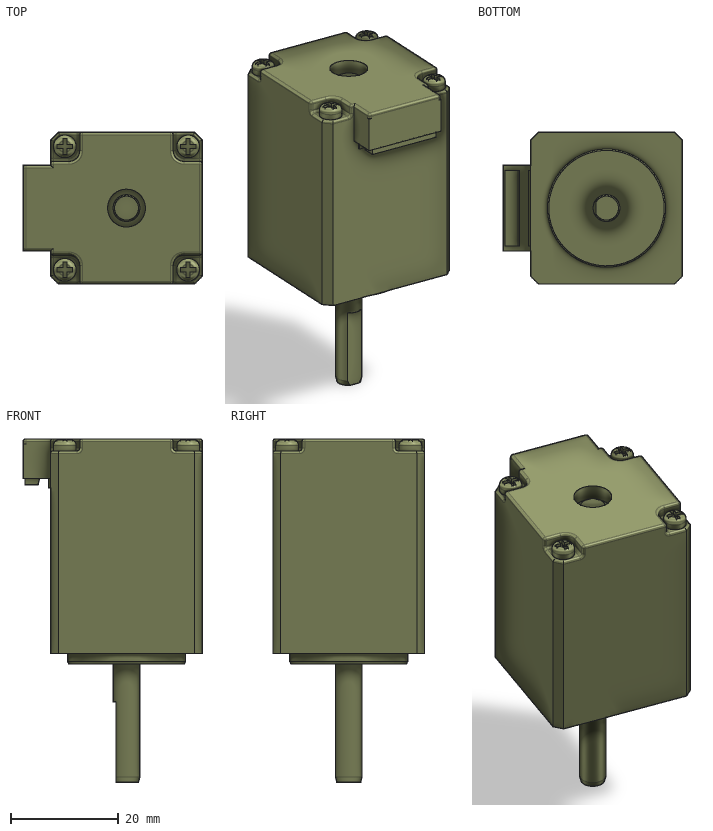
import cadquery as cq


body_side = 28.3
body_height = 40.0
body_corner_chamfer = 1.5
half_side = body_side / 2
edge_radius = 0.5

recess_depth = 2.25
recess_side = 5.45
recess_corner_radius = 2.0
recess_floor_radius = edge_radius
recess_floor_z = body_height - recess_depth

screw_spacing = 23.0
screw_offset = screw_spacing / 2
head_radius = 2.1
head_height = 2.05
head_rounding = 1.0
cross_length = 2.95
cross_width = 0.8
cross_depth = 0.95

housing_reach = 5.1
housing_width = 16.0
housing_height = 7.4
cover_thickness = 0.95
cover_corner_radius = edge_radius
housing_end_x = -half_side - housing_reach
housing_bottom_z = body_height - housing_height

plug_width = 14.1
collar_inset = 0.3
collar_thickness = 2.75
collar_drop = 1.15
collar_tip_taper = 0.25
back_wall_thickness = 0.4
back_wall_drop = 1.7

boss_radius = 11.0
boss_height = 2.0
boss_chamfer_height = 0.5
boss_chamfer_inset = 0.25
shaft_radius = 2.5
overall_height = 64.0
shaft_bottom_z = body_height - overall_height
shaft_tip_height = 1.0
shaft_tip_inset = 0.25
flat_depth = 0.5
flat_length = 15.0
rear_hole_radius = 3.5
rear_hole_depth = 3.0
shaft_top_depth = 2.0
shaft_top_z = body_height - shaft_top_depth

overlap = 0.65
tolerance = 0.005


def block(x_range, y_range, z_range):
    """A box between the given limits."""
    sizes = [high - low for low, high in (x_range, y_range, z_range)]
    corner = (x_range[0], y_range[0], z_range[0])
    return cq.Workplane("XY").box(*sizes, centered=False).translate(corner)


def centred(width):
    """Limits of a width centred on zero."""
    return (-width / 2, width / 2)


def make_recess():
    """Cutter for the +X +Y corner, with rounded floor edges along its two walls."""
    wall = half_side - recess_side
    outside = half_side + recess_side
    return (
        block((wall, outside), (wall, outside), (recess_floor_z, body_height + overlap))
        .edges("|Z and <X and <Y")
        .fillet(recess_corner_radius)
        .faces("<Z")
        .edges()
        .fillet(recess_floor_radius)
    )


def is_outer_upper_edge(edge):
    """True for the outline of the top face and the edges where the recesses meet the sides."""
    reach_x = abs(edge.Center().x)
    reach_y = abs(edge.Center().y)
    lowest = edge.BoundingBox().zmin
    on_top = lowest > body_height - tolerance
    on_side = max(reach_x, reach_y) > half_side - tolerance
    on_corner = reach_x + reach_y > body_side - body_corner_chamfer - tolerance
    return on_top or (lowest > recess_floor_z - tolerance and (on_side or on_corner))


def make_body():
    """Square body with four recessed top corners and rounded upper edges."""
    body = (
        cq.Workplane("XY")
        .rect(body_side, body_side)
        .extrude(body_height)
        .edges("|Z")
        .chamfer(body_corner_chamfer)
    )
    for quarter in range(4):
        body = body.cut(make_recess().rotate((0, 0, 0), (0, 0, 1), 90 * quarter))
    return body.edges().filter(is_outer_upper_edge).fillet(edge_radius)


def make_cover():
    """Thin cover on top of the housing, reaching over the rounded edge of the body."""
    return (
        block(
            (housing_end_x, -half_side + edge_radius),
            centred(housing_width),
            (body_height - cover_thickness, body_height),
        )
        .edges("|Z and <X")
        .fillet(cover_corner_radius)
        .faces(">Z")
        .edges("not >X")
        .fillet(edge_radius)
    )


def make_housing():
    """Connector housing with the plug collar and the back wall below it."""
    housing = block(
        (housing_end_x, -half_side + edge_radius),
        centred(housing_width),
        (housing_bottom_z, body_height - cover_thickness),
    )
    collar_start_x = housing_end_x + collar_inset
    collar_end_x = collar_start_x + collar_thickness
    collar = (
        cq.Workplane("XZ")
        .moveTo(collar_start_x, housing_bottom_z)
        .lineTo(collar_end_x, housing_bottom_z)
        .lineTo(collar_end_x - collar_tip_taper, housing_bottom_z - collar_drop)
        .lineTo(collar_start_x, housing_bottom_z - collar_drop)
        .close()
        .extrude(plug_width / 2, both=True)
    )
    back_wall = block(
        (-half_side - back_wall_thickness, -half_side + edge_radius),
        centred(plug_width),
        (housing_bottom_z - back_wall_drop, housing_bottom_z),
    )
    return housing.union(collar).union(back_wall)


def make_screw():
    """Round screw head with a cross recess, standing on the recess floor."""
    head = (
        cq.Workplane("XY")
        .circle(head_radius)
        .extrude(head_height)
        .faces(">Z")
        .edges()
        .fillet(head_rounding)
    )
    slots = (head_height - cross_depth, head_height + overlap)
    for width_x, width_y in ((cross_length, cross_width), (cross_width, cross_length)):
        head = head.cut(block(centred(width_x), centred(width_y), slots))
    return head.translate((0, 0, recess_floor_z))


def make_boss():
    """Round locating boss below the mounting face, with a chamfered lower edge."""
    return (
        cq.Workplane("XY")
        .circle(boss_radius)
        .extrude(-boss_height)
        .faces("<Z")
        .chamfer(boss_chamfer_height, boss_chamfer_inset)
    )


def make_shaft():
    """Through shaft with tapered ends and a flat on the -X side of the output end."""
    tip_radius = shaft_radius - shaft_tip_inset
    shaft = (
        cq.Workplane("XZ")
        .moveTo(0, shaft_bottom_z)
        .lineTo(tip_radius, shaft_bottom_z)
        .lineTo(shaft_radius, shaft_bottom_z + shaft_tip_height)
        .lineTo(shaft_radius, shaft_top_z - shaft_tip_height)
        .lineTo(tip_radius, shaft_top_z)
        .lineTo(0, shaft_top_z)
        .close()
        .revolve(360, (0, 0, 0), (0, 1, 0))
    )
    flat = block(
        (-shaft_radius - overlap, -shaft_radius + flat_depth),
        centred(2 * shaft_radius + overlap),
        (shaft_bottom_z - overlap, shaft_bottom_z + flat_length),
    )
    return shaft.cut(flat)


rear_hole = (
    cq.Workplane("XY")
    .workplane(offset=body_height - rear_hole_depth)
    .circle(rear_hole_radius)
    .extrude(rear_hole_depth + overlap)
)

result = make_body().cut(rear_hole)
for section in (make_cover(), make_housing(), make_boss(), make_shaft()):
    result = result.union(section)
for side_x in (-1, 1):
    for side_y in (-1, 1):
        place = (side_x * screw_offset, side_y * screw_offset, 0)
        result = result.union(make_screw().translate(place))